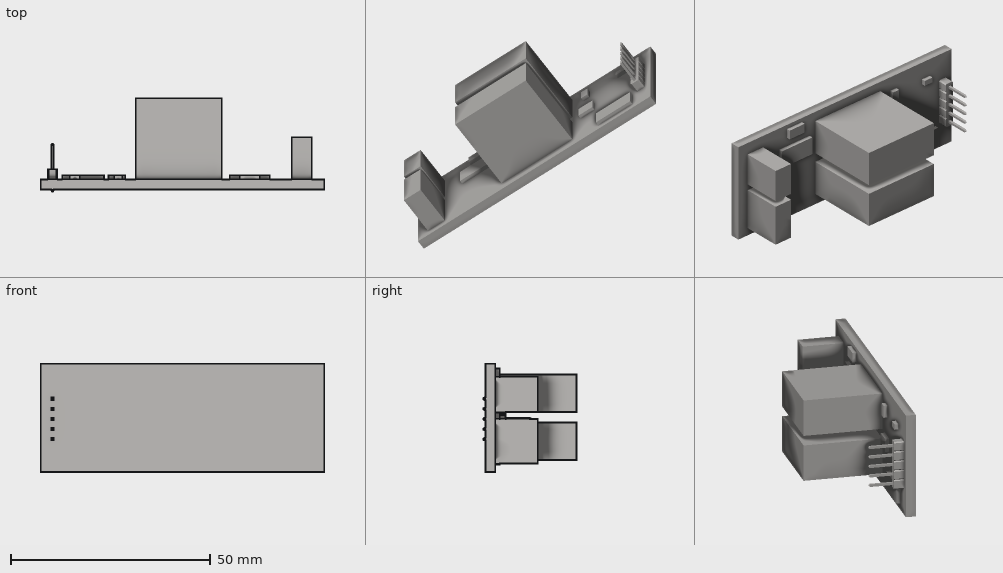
import cadquery as cq


board_length = 71.2
board_height = 27.2
board_thickness = 2.55

relay_length = 21.65
relay_height = 9.5
relay_depth = 20.35
relay_left = 23.85
relay_bottoms = (3.0, 15.0)

terminal_length = 5.1
terminal_depth = 10.6
terminal_left = 62.95
terminal_bottoms_and_heights = ((2.15, 11.2), (15.0, 8.8))

flat_depth = 1.1
flat_components = {
    "driver chip": (5.4, 1.8, 10.55, 4.9),
    "resistor": (7.3, 20.85, 2.55, 1.4),
    "regulator": (17.0, 11.4, 4.3, 3.55),
    "capacitor": (18.5, 20.0, 1.9, 3.2),
    "logic chip": (47.4, 16.0, 10.1, 4.9),
    "diode": (50.0, 23.4, 5.0, 2.55),
}

contact_count = 5
header_length = 12.7
header_x = 3.0
header_center_z = 13.3
contact_pitch = header_length / contact_count
insulator_width = 2.4
insulator_depth = 2.55
insulator_chamfer = 0.3
pin_width = 0.65
pin_reach = 8.9
pin_tail = 0.5
pin_taper_length = 0.35
pin_tip_width = 0.2

contact_heights = [
    header_center_z + (index - (contact_count - 1) / 2) * contact_pitch
    for index in range(contact_count)
]


def block_on_board(left, bottom, length, height, depth):
    """A rectangular block standing on the component face of the board."""
    corner = (left, board_thickness, bottom)
    return cq.Workplane("XY").box(length, depth, height, centered=False).translate(corner)


def bar_along_y(width, height, y_start, y_end, z):
    """A rectangular bar along Y, centred on the axis of one contact."""
    middle = (header_x, (y_start + y_end) / 2, z)
    return cq.Workplane("XY").box(width, y_end - y_start, height).translate(middle)


def pin_tip(y_base, y_end, z):
    """A pyramid frustum that narrows from the pin width at y_base to the tip width at y_end."""
    base_plane = cq.Plane(origin=(header_x, y_base, z), xDir=(1, 0, 0), normal=(0, 1, 0))
    base = cq.Workplane(base_plane).rect(pin_width, pin_width)
    return base.workplane(offset=y_end - y_base).rect(pin_tip_width, pin_tip_width).loft()


def make_pin(z):
    """A square pin through the board, tapered at both ends."""
    front_end = board_thickness + pin_reach
    shank_start = -pin_tail + pin_taper_length
    shank_end = front_end - pin_taper_length
    shank = bar_along_y(pin_width, pin_width, shank_start, shank_end, z)
    front_tip = pin_tip(shank_end, front_end, z)
    back_tip = pin_tip(shank_start, -pin_tail, z)
    return shank.union(front_tip).union(back_tip)


def make_contact(z):
    """One header contact: an insulator block with chamfered long edges and its pin."""
    insulator_end = board_thickness + insulator_depth
    insulator = bar_along_y(insulator_width, contact_pitch, board_thickness, insulator_end, z)
    return insulator.edges("|Y").chamfer(insulator_chamfer).union(make_pin(z))


def make_board():
    """The board with its relays, terminal blocks, flat components and pin holes."""
    board = cq.Workplane("XY").box(board_length, board_thickness, board_height, centered=False)
    for bottom in relay_bottoms:
        board = board.union(block_on_board(relay_left, bottom, relay_length, relay_height, relay_depth))
    for bottom, height in terminal_bottoms_and_heights:
        board = board.union(block_on_board(terminal_left, bottom, terminal_length, height, terminal_depth))
    for left, bottom, length, height in flat_components.values():
        board = board.union(block_on_board(left, bottom, length, height, flat_depth))
    for z in contact_heights:
        board = board.cut(make_pin(z))
    return board


board = make_board()
contacts = [make_contact(z) for z in contact_heights]

result = cq.Compound.makeCompound([board.val(), *[contact.val() for contact in contacts]])